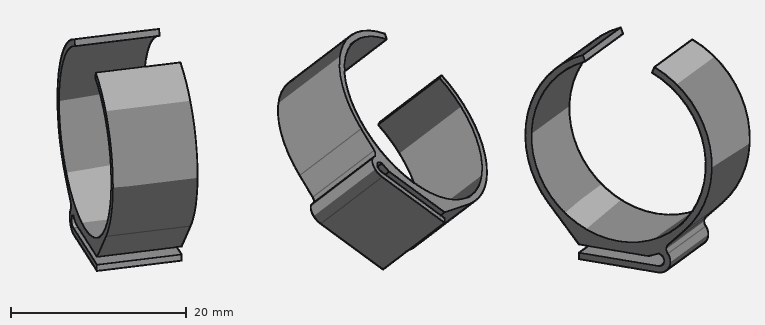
import cadquery as cq
import math

width = 10.0
wall = 0.8
ring_outer_diameter = 23.58
ring_outer_radius = ring_outer_diameter / 2
ring_inner_radius = ring_outer_radius - wall
gap_half_angle = 22.5
left_flank_angle = 225
foot_half_length = 5.0
foot_z = -12.2
loop_inner_radius = 0.75
loop_outer_radius = loop_inner_radius + wall
loop_x = -foot_half_length
loop_z = -12.45
neck_radius = 0.8
slot_ramp_end_x = -3.83

arm_top_z = loop_z - loop_inner_radius
arm_bottom_z = loop_z - loop_outer_radius


def polar(radius, degrees, center=(0, 0)):
    """Point at an angle measured from +X toward +Z."""
    angle = math.radians(degrees)
    return (center[0] + radius * math.cos(angle), center[1] + radius * math.sin(angle))


def direction(start, end):
    """Angle in degrees of the line from start to end."""
    return math.degrees(math.atan2(end[1] - start[1], end[0] - start[0]))


foot_corner_distance = math.hypot(foot_half_length, foot_z)
right_flank_angle = direction((0, 0), (foot_half_length, foot_z)) + math.degrees(
    math.acos(ring_outer_radius / foot_corner_distance)
)

loop_center = (loop_x, loop_z)
flank_normal = polar(1, left_flank_angle)
flank_tangent = polar(1, left_flank_angle + 90)
loop_offset = loop_x * flank_normal[0] + loop_z * flank_normal[1]
loop_along = loop_x * flank_tangent[0] + loop_z * flank_tangent[1]
neck_offset = ring_outer_radius + neck_radius
neck_reach = math.sqrt((loop_outer_radius + neck_radius) ** 2 - (neck_offset - loop_offset) ** 2)
neck_along = loop_along - neck_reach
neck_center = (
    neck_offset * flank_normal[0] + neck_along * flank_tangent[0],
    neck_offset * flank_normal[1] + neck_along * flank_tangent[1],
)
neck_top_angle = left_flank_angle - 180
neck_loop_angle = direction(neck_center, loop_center)
neck_mid_angle = (neck_top_angle + neck_loop_angle) / 2
loop_neck_angle = neck_loop_angle + 180
loop_mid_angle = (loop_neck_angle + 270) / 2

right_tip_angle = 90 - gap_half_angle
left_tip_angle = 90 + gap_half_angle

profile = (
    cq.Workplane("XZ", origin=(0, width / 2, 0))
    .moveTo(*polar(ring_inner_radius, right_tip_angle))
    .threePointArc((0, -ring_inner_radius), polar(ring_inner_radius, left_tip_angle))
    .lineTo(*polar(ring_outer_radius, left_tip_angle))
    .threePointArc((-ring_outer_radius, 0), polar(ring_outer_radius, left_flank_angle))
    .lineTo(*polar(neck_radius, neck_top_angle, neck_center))
    .threePointArc(
        polar(neck_radius, neck_mid_angle, neck_center),
        polar(neck_radius, neck_loop_angle, neck_center),
    )
    .threePointArc(polar(loop_outer_radius, loop_mid_angle, loop_center), (loop_x, arm_bottom_z))
    .lineTo(foot_half_length, arm_bottom_z)
    .lineTo(foot_half_length, arm_top_z)
    .lineTo(loop_x, arm_top_z)
    .threePointArc((loop_x - loop_inner_radius, loop_z), (loop_x, loop_z + loop_inner_radius))
    .lineTo(slot_ramp_end_x, foot_z)
    .lineTo(foot_half_length, foot_z)
    .lineTo(*polar(ring_outer_radius, right_flank_angle))
    .threePointArc((ring_outer_radius, 0), polar(ring_outer_radius, right_tip_angle))
    .close()
)

result = profile.extrude(width)